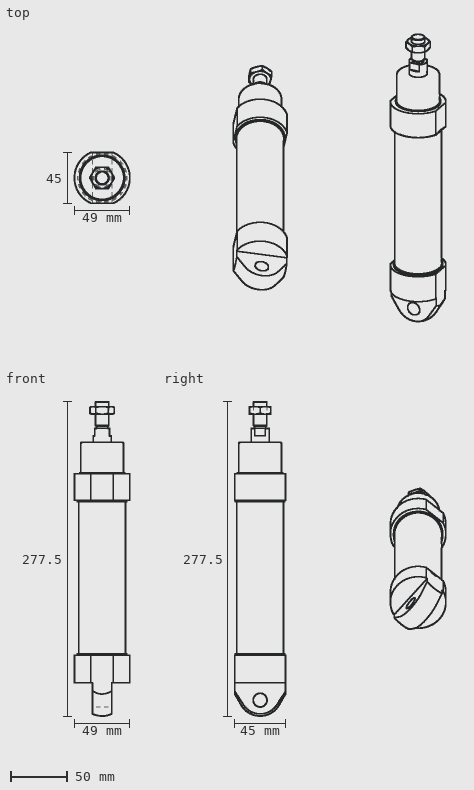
import cadquery as cq
import math

TOTAL_HEIGHT = 277.5

CAP_DIAMETER = 49.0
CAP_ACROSS_FLATS = 45.0
BARREL_LIP_HEIGHT = 1.0
BOSS_LIP_HEIGHT = 0.5
BARREL_LIP_DIAMETER = 43.5
LOWER_CAP_BOTTOM = 29.5
LOWER_CAP_TOP = 53.9
UPPER_CAP_BOTTOM = 190.5
UPPER_CAP_TOP = 214.0

BARREL_DIAMETER = 41.6
BOSS_DIAMETER = 38.0
BOSS_LIP_DIAMETER = 40.0
BOSS_TOP = 241.8
BOSS_FILLET = 1.7

LUG_THICKNESS = 17.2
LUG_DOME_RADIUS = 19.5
LUG_CONE_ANGLE = 30.0
LUG_HOLE_DIAMETER = 12.0
LUG_HOLE_HEIGHT = 14.2

ROD_DIAMETER = 16.0
ROD_SHOULDER = 254.0
ROD_ACROSS_FLATS = 13.0
ROD_FLAT_HEIGHT = 6.7
UNDERCUT_DIAMETER = 10.3
UNDERCUT_HEIGHT = 2.0
THREAD_DIAMETER = 12.0
THREAD_CHAMFER = 0.5

NUT_ACROSS_FLATS = 19.0
NUT_BOTTOM = 266.5
NUT_HEIGHT = 6.7
NUT_BEVEL_ANGLE = 30.0


def cylinder(diameter, bottom, top):
    """Solid cylinder on the Z axis between two heights."""
    return cq.Workplane("XY").workplane(offset=bottom).circle(diameter / 2).extrude(top - bottom)


def flatted_cap(bottom, top):
    """Round end cap with one flat on each Y side."""
    flats = cq.Workplane("XY").box(CAP_DIAMETER, CAP_ACROSS_FLATS, TOTAL_HEIGHT, centered=(True, True, False))
    return cylinder(CAP_DIAMETER, bottom, top).intersect(flats)


def rear_lug():
    """Tongue cut from a revolved cone with a tangent spherical end, with a cross hole along X."""
    angle = math.radians(LUG_CONE_ANGLE)
    mid_angle = (math.pi / 2 - angle) / 2
    tangent_radius = LUG_DOME_RADIUS * math.cos(angle)
    tangent_height = LUG_DOME_RADIUS * (1 - math.sin(angle))
    cap_radius = CAP_DIAMETER / 2
    cone_top = tangent_height + (cap_radius - tangent_radius) / math.tan(angle)
    dome_middle = (LUG_DOME_RADIUS * math.sin(mid_angle), LUG_DOME_RADIUS * (1 - math.cos(mid_angle)))
    body = (
        cq.Workplane("XZ")
        .moveTo(0, 0)
        .threePointArc(dome_middle, (tangent_radius, tangent_height))
        .lineTo(cap_radius, cone_top)
        .lineTo(cap_radius, LOWER_CAP_BOTTOM)
        .lineTo(0, LOWER_CAP_BOTTOM)
        .close()
        .revolve(360, (0, 0), (0, 1))
    )
    tongue = cq.Workplane("XY").box(
        LUG_THICKNESS, CAP_ACROSS_FLATS, LOWER_CAP_BOTTOM, centered=(True, True, False)
    )
    hole = (
        cq.Workplane("YZ")
        .center(0, LUG_HOLE_HEIGHT)
        .circle(LUG_HOLE_DIAMETER / 2)
        .extrude(LUG_THICKNESS, both=True)
    )
    return body.intersect(tongue).cut(hole)


def make_housing():
    """Barrel with both end caps, the front boss and the rear lug."""
    boss = cylinder(BOSS_DIAMETER, UPPER_CAP_TOP, BOSS_TOP).faces(">Z").edges().fillet(BOSS_FILLET)
    return (
        cylinder(BARREL_DIAMETER, LOWER_CAP_TOP, UPPER_CAP_BOTTOM)
        .union(flatted_cap(LOWER_CAP_BOTTOM, LOWER_CAP_TOP))
        .union(flatted_cap(UPPER_CAP_BOTTOM, UPPER_CAP_TOP))
        .union(cylinder(BARREL_LIP_DIAMETER, LOWER_CAP_TOP, LOWER_CAP_TOP + BARREL_LIP_HEIGHT))
        .union(cylinder(BARREL_LIP_DIAMETER, UPPER_CAP_BOTTOM - BARREL_LIP_HEIGHT, UPPER_CAP_BOTTOM))
        .union(cylinder(BOSS_LIP_DIAMETER, UPPER_CAP_TOP, UPPER_CAP_TOP + BOSS_LIP_HEIGHT))
        .union(boss)
        .union(rear_lug())
    )


def make_rod():
    """Rod end standing on the boss: wrench flats on the X sides, undercut and threaded end."""
    flat_bottom = ROD_SHOULDER - ROD_FLAT_HEIGHT
    thread_bottom = ROD_SHOULDER + UNDERCUT_HEIGHT
    flats = cq.Workplane("XY").workplane(offset=flat_bottom).rect(ROD_ACROSS_FLATS, ROD_DIAMETER)
    flatted_end = cylinder(ROD_DIAMETER, flat_bottom, ROD_SHOULDER).intersect(flats.extrude(ROD_FLAT_HEIGHT))
    thread = cylinder(THREAD_DIAMETER, thread_bottom, TOTAL_HEIGHT).faces("<Z or >Z").chamfer(THREAD_CHAMFER)
    return (
        cylinder(ROD_DIAMETER, BOSS_TOP, flat_bottom)
        .union(flatted_end)
        .union(cylinder(UNDERCUT_DIAMETER, ROD_SHOULDER, thread_bottom))
        .union(thread)
    )


def make_nut():
    """Hexagon nut with corners on the X axis, both ends bevelled at the corners."""
    across_corners = NUT_ACROSS_FLATS / math.cos(math.radians(30))
    flat_radius = NUT_ACROSS_FLATS / 2
    corner_radius = across_corners / 2
    bevel_drop = (corner_radius - flat_radius) * math.tan(math.radians(NUT_BEVEL_ANGLE))
    hexagon = (
        cq.Workplane("XY")
        .workplane(offset=NUT_BOTTOM)
        .polygon(6, across_corners)
        .circle(THREAD_DIAMETER / 2)
        .extrude(NUT_HEIGHT)
    )
    bevelled_blank = (
        cq.Workplane("XZ", origin=(0, 0, NUT_BOTTOM))
        .moveTo(0, 0)
        .lineTo(flat_radius, 0)
        .lineTo(corner_radius, bevel_drop)
        .lineTo(corner_radius, NUT_HEIGHT - bevel_drop)
        .lineTo(flat_radius, NUT_HEIGHT)
        .lineTo(0, NUT_HEIGHT)
        .close()
        .revolve(360, (0, 0), (0, 1))
    )
    return hexagon.intersect(bevelled_blank)


housing = make_housing()
rod = make_rod()
nut = make_nut()

result = cq.Compound.makeCompound([housing.val(), rod.val(), nut.val()])